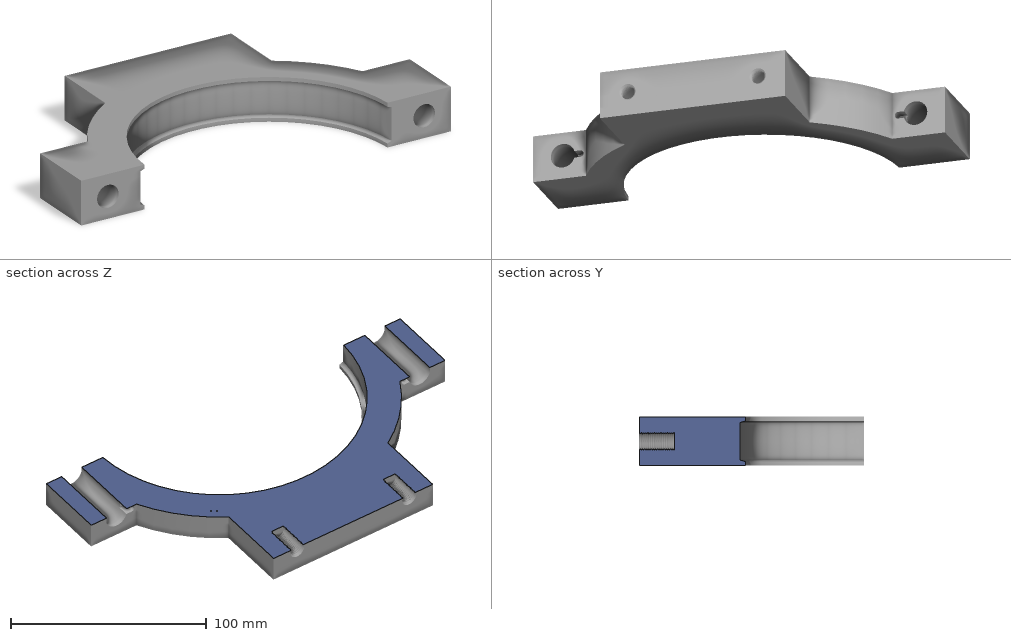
import cadquery as cq
import math

span = 222.0
thickness = 25.0
depth = 115.0

bore_radius = 73.0
ring_wall = 20.2
ring_radius = bore_radius + ring_wall
axis_offset = 3.3

pad_width = 100.0
ear_length = 40.0

groove_depth = 2.5
groove_lip = 2.2
groove_taper = 20.0

bolt_diameter = 12.9
bolt_spacing = 190.0
relief_width = 3.5
relief_reach = 11.0
relief_depth = 6.0

mount_spacing = 70.2
thread_major = 8.7
thread_minor = 7.3
thread_pitch = 1.0
thread_turns = 16

pad_face = -depth
ear_face = -ear_length


def block(length, width, x_start):
    """Full-thickness block starting at x_start and centred on Y and Z."""
    centred_axes = (False, True, True)
    return cq.Workplane("XY", origin=(x_start, 0, 0)).box(length, width, thickness, centered=centred_axes)


def disc(radius):
    """Full-thickness disc on the clamp axis."""
    return cq.Workplane("XY").center(axis_offset, 0).circle(radius).extrude(thickness / 2, both=True)


def clamp_body():
    half_space = block(depth, span, pad_face)
    ring = disc(ring_radius).intersect(half_space)
    pad = block(depth, pad_width, pad_face)
    ears = block(ear_length, span, ear_face)
    return ring.union(pad).union(ears).cut(disc(bore_radius))


def bore_groove():
    """Ring-shaped cutter whose flanks narrow toward the groove floor."""
    mouth = thickness / 2 - groove_lip
    floor = mouth - groove_depth * math.tan(math.radians(groove_taper))
    floor_radius = bore_radius + groove_depth
    profile = [(0, -mouth), (bore_radius, -mouth), (floor_radius, -floor),
               (floor_radius, floor), (bore_radius, mouth), (0, mouth)]
    return cq.Workplane("XZ").polyline(profile).close().revolve().translate((axis_offset, 0, 0))


def bolt_hole(side):
    """Through hole in one ear, with the relief slot opening toward the ring."""
    bolt_y = side * bolt_spacing / 2
    entry = cq.Workplane("YZ", origin=(ear_face, bolt_y, 0))
    bolt = entry.circle(bolt_diameter / 2).extrude(ear_length)
    slot_middle = -side * relief_reach / 2
    relief = entry.center(slot_middle, 0).slot2D(relief_reach, relief_width).extrude(relief_depth)
    return bolt.union(relief)


def mount_hole(side):
    """Threaded cutter: a zigzag profile revolved about the hole axis."""
    profile = [(pad_face, 0), (pad_face, thread_major / 2)]
    for turn in range(thread_turns):
        turn_start = pad_face + turn * thread_pitch
        profile.append((turn_start + thread_pitch / 2, thread_minor / 2))
        profile.append((turn_start + thread_pitch, thread_major / 2))
    profile.append((pad_face + thread_turns * thread_pitch, 0))
    cutter = cq.Workplane("XY").polyline(profile).close().revolve(360, (0, 0, 0), (1, 0, 0))
    return cutter.translate((0, side * mount_spacing / 2, 0))


result = clamp_body().cut(bore_groove())
for side in (-1, 1):
    result = result.cut(bolt_hole(side)).cut(mount_hole(side))